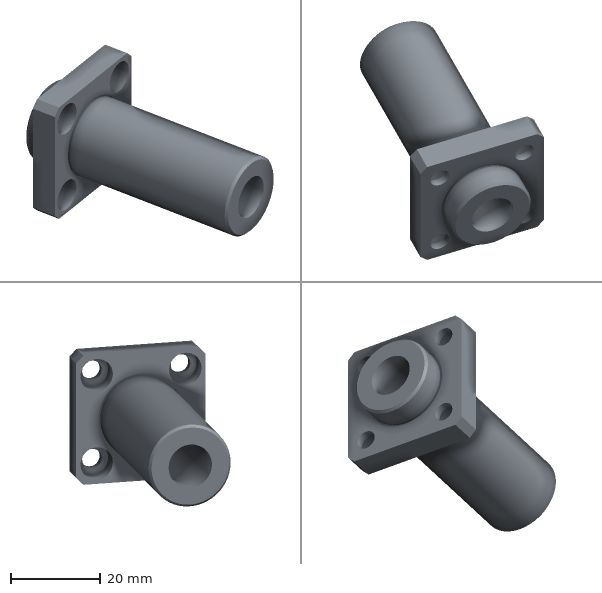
import cadquery as cq

length = 55.0
flange_side = 30.0
flange_thickness = 6.0
flange_start = 6.0
flange_end = flange_start + flange_thickness
flange_corner_chamfer = 1.65

tube_diameter = 19.0
bore_diameter = 10.0
end_chamfer = 0.55

groove_width = 0.3
groove_depth = 0.35
recess_diameter = 19.6
recess_depth = 0.5

hole_pitch = 20.5
hole_diameter = 4.5
counterbore_diameter = 7.5
counterbore_depth = 4.1


def section_at(x):
    """Sketching plane across the tube axis, facing +X."""
    return cq.Workplane("YZ", origin=(x, 0, 0))


def make_tube():
    """Solid cylinder along X with both end edges chamfered."""
    return section_at(0).circle(tube_diameter / 2).extrude(length).faces("<X or >X").chamfer(end_chamfer)


def make_flange():
    """Square plate with chamfered corners, counterbored from its +X face."""
    plate = section_at(flange_start).rect(flange_side, flange_side).extrude(flange_thickness)
    return (
        plate.edges("|X")
        .chamfer(flange_corner_chamfer)
        .faces(">X")
        .workplane()
        .rect(hole_pitch, hole_pitch, forConstruction=True)
        .vertices()
        .cboreHole(hole_diameter, counterbore_diameter, counterbore_depth)
    )


def make_relief(start_x):
    """Ring that cuts the tube groove and the adjoining flange recess."""
    floor_radius = tube_diameter / 2 - groove_depth
    return (
        section_at(start_x)
        .circle(recess_diameter / 2)
        .circle(floor_radius)
        .extrude(groove_width + recess_depth)
    )


result = make_tube().union(make_flange())
for relief_start in (flange_start - groove_width, flange_end - recess_depth):
    result = result.cut(make_relief(relief_start))

bore = section_at(0).circle(bore_diameter / 2).extrude(length)
result = result.cut(bore)